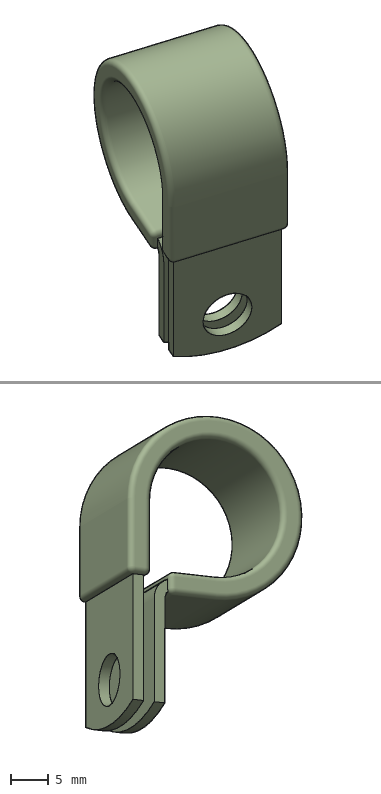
import cadquery as cq
import math

overall_height = 41.95
loop_radius = 12.64
cushion_thickness = 3.15
cushion_width = 17.45
edge_radius = 0.8
lower_cushion_end_x = 6.8
upper_cushion_end_z = -10.27

tab_gap = 1.55
bend_outer_radius = 2.95
tab_tip_sag = 1.68
hole_diameter = 7.13
hole_z = -22.98

strap_thickness = cushion_thickness - 2 * edge_radius
strap_width = cushion_width - 2 * edge_radius
bore_radius = loop_radius - cushion_thickness
strap_outer_radius = loop_radius - edge_radius
strap_inner_radius = strap_outer_radius - strap_thickness

tab_bottom_z = loop_radius - overall_height
near_tab_outer_x = strap_inner_radius - tab_gap
near_tab_inner_x = near_tab_outer_x - strap_thickness
bend_center_x = near_tab_outer_x - bend_outer_radius
bend_center_z = -strap_inner_radius - bend_outer_radius
bend_inner_radius = bend_outer_radius - strap_thickness


def diagonal_point(center_x, center_z, radius, x_sign):
    """Point on a circle, 45 degrees above its center on the chosen side."""
    offset = radius * math.sqrt(0.5)
    return center_x + x_sign * offset, center_z + offset


def extrude_centered(sketch, width):
    return sketch.extrude(width / 2, both=True)


def make_cushion():
    """Three-quarter loop with straight ends and every edge rounded."""
    profile = (
        cq.Workplane("XZ")
        .moveTo(lower_cushion_end_x, -loop_radius)
        .lineTo(0, -loop_radius)
        .threePointArc(diagonal_point(0, 0, loop_radius, -1), (loop_radius, 0))
        .lineTo(loop_radius, upper_cushion_end_z)
        .lineTo(bore_radius, upper_cushion_end_z)
        .lineTo(bore_radius, 0)
        .threePointArc(diagonal_point(0, 0, bore_radius, -1), (0, -bore_radius))
        .lineTo(lower_cushion_end_x, -bore_radius)
        .close()
    )
    body = extrude_centered(profile, cushion_width)
    rounded_edges = body.faces("<Y or >Y").edges()
    end_corners = (
        (lower_cushion_end_x, -loop_radius),
        (lower_cushion_end_x, -bore_radius),
        (loop_radius, upper_cushion_end_z),
        (bore_radius, upper_cushion_end_z),
    )
    for x, z in end_corners:
        corner = cq.selectors.NearestToPointSelector((x, 0, z))
        rounded_edges = rounded_edges.add(body.edges(corner))
    return rounded_edges.fillet(edge_radius)


def make_strap():
    """Metal strap following the loop, with one bent tab and one straight tab."""
    profile = (
        cq.Workplane("XZ")
        .moveTo(near_tab_inner_x, tab_bottom_z)
        .lineTo(near_tab_inner_x, bend_center_z)
        .threePointArc(
            diagonal_point(bend_center_x, bend_center_z, bend_inner_radius, 1),
            (bend_center_x, -strap_outer_radius),
        )
        .lineTo(0, -strap_outer_radius)
        .threePointArc(diagonal_point(0, 0, strap_outer_radius, -1), (strap_outer_radius, 0))
        .lineTo(strap_outer_radius, tab_bottom_z)
        .lineTo(strap_inner_radius, tab_bottom_z)
        .lineTo(strap_inner_radius, 0)
        .threePointArc(diagonal_point(0, 0, strap_inner_radius, -1), (0, -strap_inner_radius))
        .lineTo(bend_center_x, -strap_inner_radius)
        .threePointArc(
            diagonal_point(bend_center_x, bend_center_z, bend_outer_radius, 1),
            (near_tab_outer_x, bend_center_z),
        )
        .lineTo(near_tab_outer_x, tab_bottom_z)
        .close()
    )
    return extrude_centered(profile, strap_width)


def make_strap_envelope():
    """Block with an arched lower end that gives both tabs their rounded tips."""
    half_width = strap_width / 2
    corner_z = tab_bottom_z + tab_tip_sag
    outline = (
        cq.Workplane("YZ")
        .moveTo(-half_width, loop_radius)
        .lineTo(-half_width, corner_z)
        .threePointArc((0, tab_bottom_z), (half_width, corner_z))
        .lineTo(half_width, loop_radius)
        .close()
    )
    return extrude_centered(outline, 2 * loop_radius)


def make_bolt_hole():
    """Cylinder along X passing through both tabs."""
    circle = cq.Workplane("YZ").center(0, hole_z).circle(hole_diameter / 2)
    return extrude_centered(circle, 2 * loop_radius)


strap = make_strap().intersect(make_strap_envelope()).cut(make_bolt_hole())
result = make_cushion().union(strap)